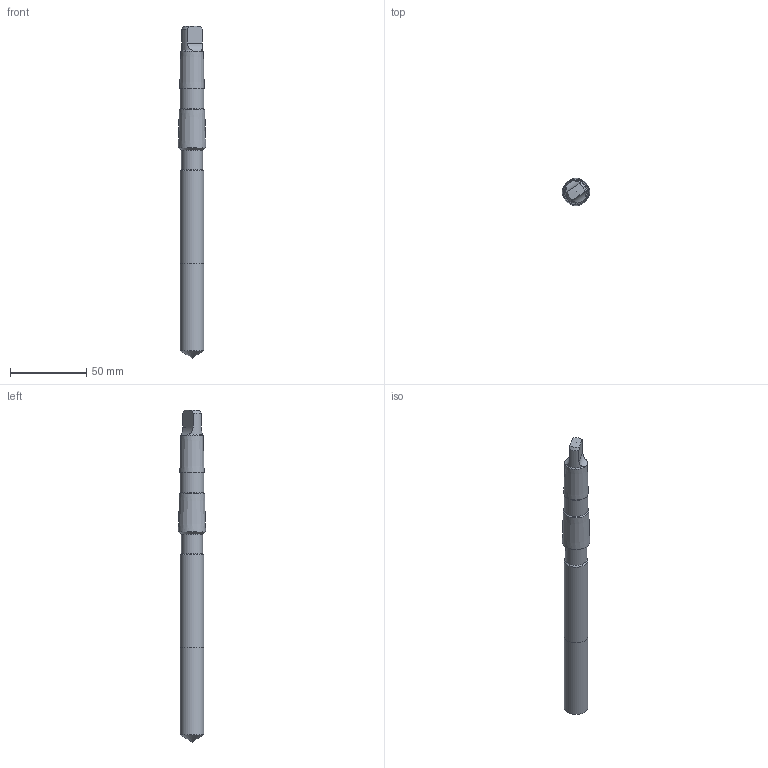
import cadquery as cq
import math

overall_length = 218.0
shank_length = 80.0
cutter_length = 62.0

drill_radius = 15.5 / 2
point_angle = 118.0
point_height = drill_radius / math.tan(math.radians(point_angle / 2))
body_end_z = 123.0
neck_radius = 14.0 / 2
body_shoulder_height = drill_radius - neck_radius

taper_large_radius = 18.03 / 2
taper_rate = 0.04995
taper_base_z = overall_length - shank_length
taper_chamfer_height = 1.5
relief_radius = 15.5 / 2
relief_bottom_z = 163.2
relief_shoulder_height = 0.6
relief_top_z = 177.0

tang_length = 16.0
tang_base_z = overall_length - tang_length
tang_shoulder_height = 0.6
taper_end_z = tang_base_z - tang_shoulder_height
tang_radius = 13.5 / 2
tang_thickness = 6.3
tang_angle = 34.0
tang_root_radius = 6.0
tang_flat_z = 206.8
tang_end_chamfer_width = 1.2
tang_end_chamfer_height = 1.8
tang_end_rise = 0.3
cut_clearance = 1.0


def taper_radius(z):
    """Radius of the Morse taper at height z."""
    return taper_large_radius - (z - taper_base_z) * taper_rate / 2


def revolve_profile(points):
    """Solid of revolution about Z from (radius, height) points."""
    return cq.Workplane("XZ").polyline(points).close().revolve(360, (0, 0, 0), (0, 1, 0))


def make_cutter():
    """Cylindrical cutting part with a conical point."""
    return revolve_profile([
        (0, 0),
        (drill_radius, point_height),
        (drill_radius, cutter_length),
        (0, cutter_length),
    ])


def make_tang_cutters():
    """Two slabs that leave the tang flats, each with a rounded run-out at its foot."""
    half_thickness = tang_thickness / 2
    outer = half_thickness + tang_root_radius
    slab_top_z = overall_length + cut_clearance
    arc_offset = tang_root_radius * math.sqrt(0.5)
    side = (
        cq.Workplane("XZ")
        .moveTo(half_thickness, slab_top_z)
        .lineTo(half_thickness, tang_flat_z)
        .threePointArc(
            (outer - arc_offset, tang_flat_z - arc_offset),
            (outer, tang_flat_z - tang_root_radius),
        )
        .lineTo(outer, slab_top_z)
        .close()
        .extrude(2 * taper_large_radius, both=True)
    )
    first_side_turn = tang_angle + 90
    return [side.rotate((0, 0, 0), (0, 0, 1), first_side_turn + turn) for turn in (0, 180)]


def make_holder():
    """Upper drill body, neck, taper shank and tang."""
    holder = revolve_profile([
        (0, cutter_length),
        (drill_radius, cutter_length),
        (drill_radius, body_end_z),
        (neck_radius, body_end_z + body_shoulder_height),
        (neck_radius, taper_base_z - taper_chamfer_height),
        (taper_large_radius, taper_base_z),
        (taper_radius(relief_bottom_z), relief_bottom_z),
        (relief_radius, relief_bottom_z + relief_shoulder_height),
        (relief_radius, relief_top_z),
        (taper_radius(relief_top_z), relief_top_z),
        (taper_radius(taper_end_z), taper_end_z),
        (tang_radius, tang_base_z),
        (tang_radius, overall_length - tang_end_rise - tang_end_chamfer_height),
        (tang_radius - tang_end_chamfer_width, overall_length - tang_end_rise),
        (0, overall_length),
    ])
    for side in make_tang_cutters():
        holder = holder.cut(side)
    return holder


cutter = make_cutter()
holder = make_holder()
result = cq.Compound.makeCompound([cutter.val(), holder.val()])